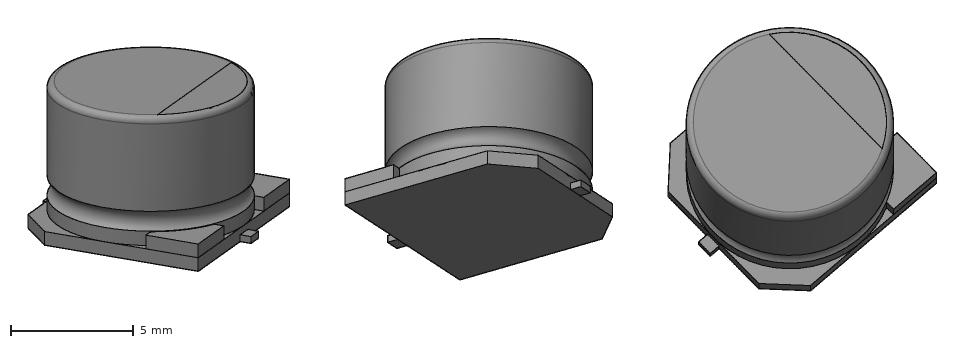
import cadquery as cq
import math

overall_length = 9.5
base_width = 8.5
overall_height = 6.2

base_height = 0.6
base_chamfer = 1.5

lead_width = 0.7
lead_height = 0.3
lead_length = (overall_length - base_width) / 2

block_start = 1.86
block_height = 0.6

can_radius = base_width / 2
top_fillet = 0.29
groove_bottom = base_height + 0.63
groove_height = 0.86
groove_depth = 0.24

mark_start = 1.995
mark_thickness = 0.05
mark_radius = can_radius - top_fillet


def make_base():
    """Square plate with two chamfered corners."""
    plate = cq.Workplane("XY").box(base_width, base_width, base_height, centered=(True, True, False))
    return plate.edges("|Z and <X").chamfer(base_chamfer)


def make_mark():
    """Thin circular segment at the +X side of the can's top face."""
    half_chord = math.sqrt(mark_radius**2 - mark_start**2)
    return (
        cq.Workplane("XY")
        .workplane(offset=overall_height - mark_thickness)
        .moveTo(mark_start, -half_chord)
        .threePointArc((mark_radius, 0), (mark_start, half_chord))
        .close()
        .extrude(mark_thickness)
    )


def make_can(mark):
    """Revolved can with a rolled groove, a rounded top rim and a recess for the mark."""
    groove_top = groove_bottom + groove_height
    groove_middle = groove_bottom + groove_height / 2
    rim_middle = mark_radius + top_fillet * math.sin(math.radians(45))
    rim_middle_height = overall_height - top_fillet * (1 - math.cos(math.radians(45)))
    can = (
        cq.Workplane("XZ")
        .moveTo(0, base_height)
        .lineTo(can_radius, base_height)
        .lineTo(can_radius, groove_bottom)
        .threePointArc((can_radius - groove_depth, groove_middle), (can_radius, groove_top))
        .lineTo(can_radius, overall_height - top_fillet)
        .threePointArc((rim_middle, rim_middle_height), (mark_radius, overall_height))
        .lineTo(0, overall_height)
        .close()
        .revolve(360, (0, 0, 0), (0, 1, 0))
    )
    return can.cut(mark)


def make_lead(side):
    """Flat lead butting against the base; side is -1 for -X and +1 for +X."""
    return (
        cq.Workplane("XY")
        .box(lead_length, lead_width, lead_height, centered=(True, True, False))
        .translate((side * (base_width + lead_length) / 2, 0, 0))
    )


def make_corner_block(side):
    """Block on a +X corner, hollowed to fit the can; side is -1 for -Y and +1 for +Y."""
    block_size = base_width / 2 - block_start
    block_centre = block_start + block_size / 2
    block = (
        cq.Workplane("XY")
        .box(block_size, block_size, block_height, centered=(True, True, False))
        .translate((block_centre, side * block_centre, base_height))
    )
    can_space = cq.Workplane("XY").circle(can_radius).extrude(overall_height)
    return block.cut(can_space)


base = make_base()
mark = make_mark()
can = make_can(mark)
leads = [make_lead(side) for side in (-1, 1)]
corner_blocks = [make_corner_block(side) for side in (-1, 1)]

result = cq.Compound.makeCompound(
    [base.val(), can.val(), mark.val()]
    + [lead.val() for lead in leads]
    + [block.val() for block in corner_blocks]
)